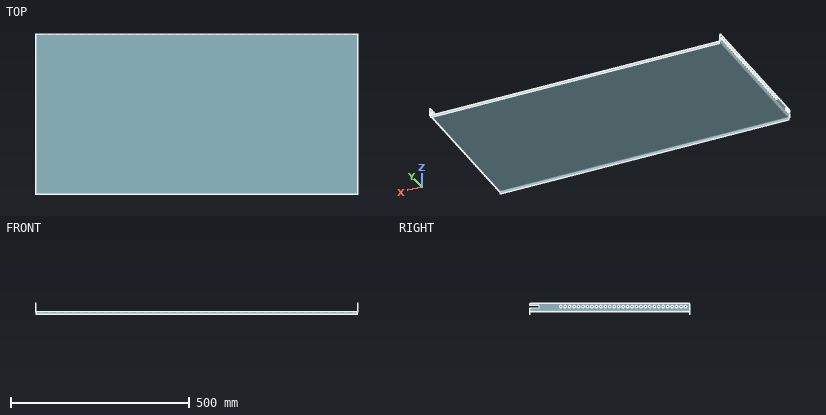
import cadquery as cq
import math

length_x = 906.0
depth_y = 450.0
height_z = 31.5

sheet = 1.5
wall_bend_radius = 2.5
lip_bend_radius = 1.6
lip_drop = 6.5
panel_bottom = lip_drop
panel_top = panel_bottom + sheet
wall_corner_radius = 5.0

hole_diameter = 6.5
hole_pitch = 12.5
hole_count = 29
hole_row_height = 21.5
first_hole_y = depth_y / 2 - hole_pitch

slot_depth = 26.0
slot_width = hole_diameter

half_x = length_x / 2
half_y = depth_y / 2
flat_length = length_x - 2 * wall_bend_radius


def make_channel(plane, width, base, rim, length, outer_radius):
    """U channel of bent sheet: outer base face at height `base`, two legs ending at height `rim`."""
    toward_rim = 1 if rim > base else -1
    half_width = width / 2
    inner_half_width = half_width - sheet
    inner_base = base + toward_rim * sheet
    inner_radius = outer_radius - sheet
    bend_x = half_width - outer_radius
    bend_z = base + toward_rim * outer_radius

    def bend_middle(side, radius):
        reach = radius * math.sqrt(0.5)
        return (side * (bend_x + reach), bend_z - toward_rim * reach)

    return (
        cq.Workplane(plane)
        .moveTo(-half_width, rim)
        .lineTo(-half_width, bend_z)
        .threePointArc(bend_middle(-1, outer_radius), (-bend_x, base))
        .lineTo(bend_x, base)
        .threePointArc(bend_middle(1, outer_radius), (half_width, bend_z))
        .lineTo(half_width, rim)
        .lineTo(inner_half_width, rim)
        .lineTo(inner_half_width, bend_z)
        .threePointArc(bend_middle(1, inner_radius), (bend_x, inner_base))
        .lineTo(-bend_x, inner_base)
        .threePointArc(bend_middle(-1, inner_radius), (-inner_half_width, bend_z))
        .lineTo(-inner_half_width, rim)
        .close()
        .extrude(length / 2, both=True)
    )


def make_side_walls():
    """Both side walls with their bends, rounded at the upper corners."""
    walled_panel = make_channel("XZ", length_x, panel_bottom, height_z, depth_y, wall_bend_radius)
    flat_area = cq.Workplane("XY").box(flat_length, depth_y, 2 * panel_top)
    wall_profile = (
        cq.Workplane("XY")
        .box(length_x, depth_y, height_z, centered=(True, True, False))
        .edges("|X and >Z")
        .fillet(wall_corner_radius)
    )
    return walled_panel.cut(flat_area).intersect(wall_profile)


def make_lipped_panel():
    """Flat panel folded down into a lip along the front and back."""
    return make_channel("YZ", depth_y, panel_top, 0, flat_length, lip_bend_radius)


def make_wall_holes():
    """Row of round holes running through both side walls."""
    centers = [(first_hole_y - i * hole_pitch, hole_row_height) for i in range(hole_count)]
    return (
        cq.Workplane("YZ", origin=(-half_x, 0, 0))
        .pushPoints(centers)
        .circle(hole_diameter / 2)
        .extrude(length_x)
    )


def make_front_slots():
    """Square-ended slot, level with the holes, open at the front of both side walls."""
    return (
        cq.Workplane("XY")
        .box(length_x, slot_depth, slot_width, centered=(True, False, True))
        .translate((0, -half_y, hole_row_height))
    )


tray = make_side_walls().union(make_lipped_panel())
result = tray.cut(make_wall_holes()).cut(make_front_slots())